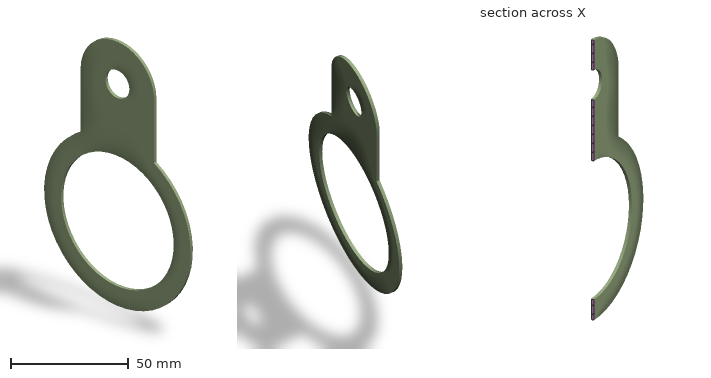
import cadquery as cq
import math

thickness = 1.5
overall_height = 128.62
ring_outer_diameter = 82.6
ring_bore_diameter = 63.5
tab_width = 41.3
tab_end_diameter = 41.4
tab_hole_diameter = 13.5

ring_outer_radius = ring_outer_diameter / 2
tab_end_radius = tab_end_diameter / 2
tab_half_width = tab_width / 2
tab_top_z = overall_height - ring_outer_radius
tab_end_centre_z = tab_top_z - tab_end_radius

side_bottom_z = math.sqrt(ring_outer_radius**2 - tab_half_width**2)
side_top_z = tab_end_centre_z - math.sqrt(tab_end_radius**2 - tab_half_width**2)


def plate_sketch():
    """Workplane on the back face, so that extrusion toward -Y centres the plate on Y = 0."""
    return cq.Workplane("XZ", origin=(0, thickness / 2, 0))


def plate_blank():
    """Solid plate: ring rim, two straight tab sides and the round tab end."""
    return (
        plate_sketch()
        .moveTo(tab_half_width, side_bottom_z)
        .lineTo(tab_half_width, side_top_z)
        .threePointArc((0, tab_top_z), (-tab_half_width, side_top_z))
        .lineTo(-tab_half_width, side_bottom_z)
        .threePointArc((0, -ring_outer_radius), (tab_half_width, side_bottom_z))
        .close()
        .extrude(thickness)
    )


def through_hole(diameter, centre_z):
    """Round cutter through the full thickness."""
    return plate_sketch().center(0, centre_z).circle(diameter / 2).extrude(thickness)


ring_bore = through_hole(ring_bore_diameter, 0)
tab_hole = through_hole(tab_hole_diameter, tab_end_centre_z)

result = plate_blank().cut(ring_bore).cut(tab_hole)